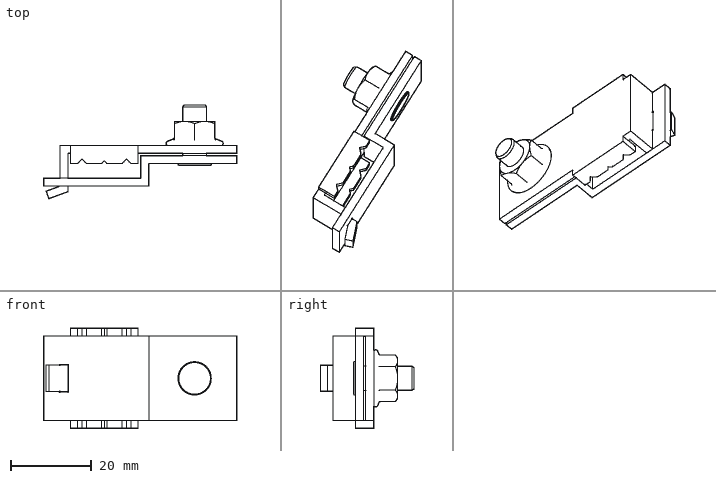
import cadquery as cq
import math


length = 47.9
strip_width = 21.0
sheet = 2.0
strip_gap = 0.55

step_x = 26.05
step_depth = 5.55
upper_back_y = -(sheet + strip_gap)
upper_front_y = upper_back_y - sheet
lower_back_y = upper_back_y - step_depth
lower_front_y = lower_back_y - sheet

wall_x = 4.05
wall_inner_x = wall_x + sheet
tongue_width = 6.5
tongue_bend = math.radians(20)
tongue_straight = 1.4
tongue_reach = 5.1
slot_clearance = 0.15

jaw_x = 6.65
jaw_length = 16.75
jaw_span = 24.8
jaw_thickness = sheet
jaw_center_x = jaw_x + jaw_length / 2
groove_pitch = 5.5
outer_groove_depth = 1.15
middle_groove_depth = 0.7

bolt_x = 37.4
shank_radius = 6.0 / 2
bolt_end_y = 10.0
bolt_end_chamfer_length = 0.57
bolt_end_chamfer_inset = 0.35
head_radius = 8.25 / 2
head_height = 0.5
head_chamfer = 0.2

nut_height = 5.95
across_flats = 10.0
across_corners = across_flats / math.cos(math.radians(30))
nut_chamfer_height = 0.57
flange_radius = 14.2 / 2
flange_edge_radius = 0.57
flange_edge_center_y = 0.5
flange_slope = math.radians(22)
rim_center_radius = flange_radius - flange_edge_radius
rim_top_radius = rim_center_radius + flange_edge_radius * math.sin(flange_slope)
rim_top_y = flange_edge_center_y + flange_edge_radius * math.cos(flange_slope)
neck_fillet = 0.3


def extrude_across(points, width):
    """Prism of an XY outline, centred on Z = 0."""
    return cq.Workplane("XY").polyline(points).close().extrude(width / 2, both=True)


def bolt_hole():
    """Cylinder of the shank's size, running through both strips."""
    return (
        cq.Workplane("XZ")
        .center(bolt_x, 0)
        .circle(shank_radius)
        .extrude(-upper_front_y)
    )


def revolve_on_bolt_axis(profile):
    """Full turn of a (radius, Y) profile, moved onto the bolt axis."""
    return profile.close().revolve(360, (0, 0, 0), (0, 1, 0)).translate((bolt_x, 0, 0))


def make_front_strip():
    strip = extrude_across(
        [
            (0, lower_front_y),
            (step_x, lower_front_y),
            (step_x, upper_front_y),
            (length, upper_front_y),
            (length, upper_back_y),
            (step_x - sheet, upper_back_y),
            (step_x - sheet, lower_back_y),
            (0, lower_back_y),
        ],
        strip_width,
    )
    slot = extrude_across(
        [
            (wall_x - slot_clearance, lower_front_y),
            (wall_inner_x + slot_clearance, lower_front_y),
            (wall_inner_x + slot_clearance, lower_back_y),
            (wall_x - slot_clearance, lower_back_y),
        ],
        tongue_width + 2 * slot_clearance,
    )
    return strip.cut(slot).cut(bolt_hole())


def make_tongue():
    """Straight neck through the slot, then a hook bent outwards."""
    along_x = -math.cos(tongue_bend)
    along_y = -math.sin(tongue_bend)
    bend_y = lower_front_y - tongue_straight
    tip_x = wall_inner_x + tongue_reach * along_x
    tip_y = bend_y + tongue_reach * along_y
    tip_back_x = tip_x + sheet * along_y
    tip_back_y = tip_y - sheet * along_x
    inner_bend_y = tip_back_y + (wall_x - tip_back_x) * math.tan(tongue_bend)
    return extrude_across(
        [
            (wall_x, lower_back_y),
            (wall_inner_x, lower_back_y),
            (wall_inner_x, bend_y),
            (tip_x, tip_y),
            (tip_back_x, tip_back_y),
            (wall_x, inner_bend_y),
        ],
        tongue_width,
    )


def make_toothed_jaw():
    """Toothed plate centred on Z = 0, with three right-angled grooves in its front edge."""
    jaw = extrude_across(
        [
            (jaw_x, 0),
            (jaw_x + jaw_length, 0),
            (jaw_x + jaw_length, upper_front_y),
            (jaw_x, upper_front_y),
        ],
        jaw_thickness,
    )
    grooves = [
        (-groove_pitch, outer_groove_depth),
        (0, middle_groove_depth),
        (groove_pitch, outer_groove_depth),
    ]
    for offset, depth in grooves:
        groove_x = jaw_center_x + offset
        groove = extrude_across(
            [
                (groove_x - depth, upper_front_y),
                (groove_x + depth, upper_front_y),
                (groove_x, upper_front_y + depth),
            ],
            jaw_thickness,
        )
        jaw = jaw.cut(groove)
    return jaw


def make_rear_strip():
    strip = extrude_across(
        [
            (wall_x, 0),
            (length, 0),
            (length, -sheet),
            (wall_inner_x, -sheet),
            (wall_inner_x, lower_back_y),
            (wall_x, lower_back_y),
        ],
        strip_width,
    )
    strip = strip.union(make_tongue())
    for side in (-1, 1):
        jaw_center_z = side * (jaw_span - jaw_thickness) / 2
        strip = strip.union(make_toothed_jaw().translate((0, 0, jaw_center_z)))
    return strip.cut(bolt_hole())


def make_bolt():
    """Low round head on the front strip and a plain shank with a tapered end."""
    head_front_y = upper_front_y - head_height
    profile = cq.Workplane("XY").polyline(
        [
            (0, head_front_y),
            (head_radius - head_chamfer, head_front_y),
            (head_radius, head_front_y + head_chamfer),
            (head_radius, upper_front_y),
            (shank_radius, upper_front_y),
            (shank_radius, bolt_end_y - bolt_end_chamfer_length),
            (shank_radius - bolt_end_chamfer_inset, bolt_end_y),
            (0, bolt_end_y),
        ]
    )
    return revolve_on_bolt_axis(profile)


def make_hexagon():
    """Hexagon with flats facing X and its rear corners turned off by a cone."""
    hexagon = (
        cq.Workplane("XZ")
        .center(bolt_x, 0)
        .transformed(rotate=(0, 0, 90))
        .polygon(6, across_corners)
        .extrude(-nut_height)
    )
    turned_profile = cq.Workplane("XY").polyline(
        [
            (0, 0),
            (across_corners / 2, 0),
            (across_corners / 2, nut_height - nut_chamfer_height),
            (across_flats / 2, nut_height),
            (0, nut_height),
        ]
    )
    return hexagon.intersect(revolve_on_bolt_axis(turned_profile))


def cone_height(radius):
    """Y of the flange's conical top at a distance from the bolt axis."""
    return rim_top_y + (rim_top_radius - radius) * math.tan(flange_slope)


def make_flange():
    """Round flange with a rounded rim and a conical top rising to the axis."""
    base_radius = rim_center_radius + math.sqrt(flange_edge_radius**2 - flange_edge_center_y**2)
    profile = (
        cq.Workplane("XY")
        .moveTo(0, 0)
        .lineTo(base_radius, 0)
        .threePointArc((flange_radius, flange_edge_center_y), (rim_top_radius, rim_top_y))
        .lineTo(0, cone_height(0))
    )
    return revolve_on_bolt_axis(profile)


def make_nut():
    neck_edges = cq.selectors.BoxSelector(
        (bolt_x - flange_radius, cone_height(across_corners / 2), -flange_radius),
        (bolt_x + flange_radius, cone_height(across_flats / 2), flange_radius),
    )
    nut = make_hexagon().union(make_flange()).edges(neck_edges).fillet(neck_fillet)
    bore = cq.Workplane("XZ").center(bolt_x, 0).circle(shank_radius).extrude(-nut_height)
    return nut.cut(bore)


front_strip = make_front_strip()
rear_strip = make_rear_strip()
bolt = make_bolt()
nut = make_nut()

result = cq.Compound.makeCompound([front_strip.val(), rear_strip.val(), bolt.val(), nut.val()])